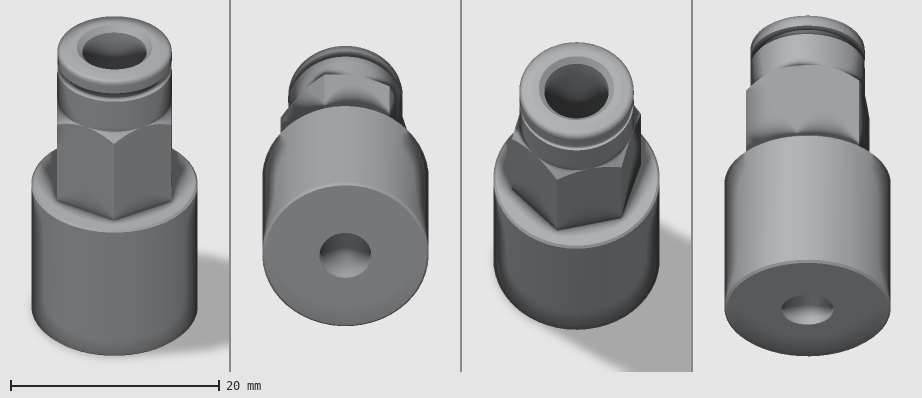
import cadquery as cq
import math

total_height = 31.0
base_height = 15.0
hex_top = 25.0
collar_top = 28.52
flange_bottom = 29.5

base_diameter = 16.0
base_chamfer = 0.22
hex_across_flats = 11.0
hex_across_corners = hex_across_flats / math.cos(math.pi / 6)
collar_diameter = hex_across_flats
through_diameter = 5.0
seat_slope = 31.0

flange_diameter = collar_diameter
neck_diameter = 9.6
sleeve_bore = 6.2
funnel_diameter = 7.25
rim_diameter = 8.65
crown_drop = 0.15
flange_fillet = 0.45
sleeve_bottom = base_height


def cylinder(diameter, bottom, top):
    return cq.Workplane("XY").workplane(offset=bottom).circle(diameter / 2).extrude(top - bottom)


def revolve_profile(points):
    """Turn a closed (radius, height) outline about the Z axis."""
    return cq.Workplane("XZ").polyline(points).close().revolve(360, (0, 0, 0), (0, 1, 0))


def make_hexagon():
    """Hexagon with corners on X, its top corners cut by a 45 degree cone."""
    hexagon = (
        cq.Workplane("XY").workplane(offset=base_height)
        .polygon(6, hex_across_corners).extrude(hex_top - base_height)
    )
    flat_radius = hex_across_flats / 2
    corner_radius = hex_across_corners / 2
    cone_bottom = hex_top - (corner_radius - flat_radius)
    chamfer_envelope = revolve_profile([
        (0, base_height),
        (corner_radius, base_height),
        (corner_radius, cone_bottom),
        (flat_radius, hex_top),
        (0, hex_top),
    ])
    return hexagon.intersect(chamfer_envelope)


def make_housing_bore():
    """Through hole, conical seat below the tube socket, and recess for the sleeve."""
    through_radius = through_diameter / 2
    seat_radius = sleeve_bore / 2
    seat_depth = (seat_radius - through_radius) * math.tan(math.radians(seat_slope))
    return revolve_profile([
        (0, 0),
        (through_radius, 0),
        (through_radius, sleeve_bottom - seat_depth),
        (seat_radius, sleeve_bottom),
        (neck_diameter / 2, sleeve_bottom),
        (neck_diameter / 2, collar_top),
        (0, collar_top),
    ])


def make_housing():
    base = cylinder(base_diameter, 0, base_height).edges("%CIRCLE").chamfer(base_chamfer)
    collar = cylinder(collar_diameter, hex_top, collar_top)
    return base.union(make_hexagon()).union(collar).cut(make_housing_bore())


def make_release_sleeve():
    """Flanged sleeve whose neck fills the housing recess and guides the tube."""
    bore_radius = sleeve_bore / 2
    funnel_radius = funnel_diameter / 2
    neck_radius = neck_diameter / 2
    flange_radius = flange_diameter / 2
    flange_edge = total_height - crown_drop
    sleeve = revolve_profile([
        (bore_radius, sleeve_bottom),
        (neck_radius, sleeve_bottom),
        (neck_radius, flange_bottom),
        (flange_radius, flange_bottom),
        (flange_radius, flange_edge),
        (rim_diameter / 2, total_height),
        (funnel_radius, total_height),
        (bore_radius, total_height - (funnel_radius - bore_radius)),
    ])
    flange_outer_edge = cq.selectors.NearestToPointSelector((0, 0, flange_edge))
    return sleeve.edges("%CIRCLE").edges(flange_outer_edge).fillet(flange_fillet)


housing = make_housing()
release_sleeve = make_release_sleeve()

result = cq.Compound.makeCompound([housing.val(), release_sleeve.val()])